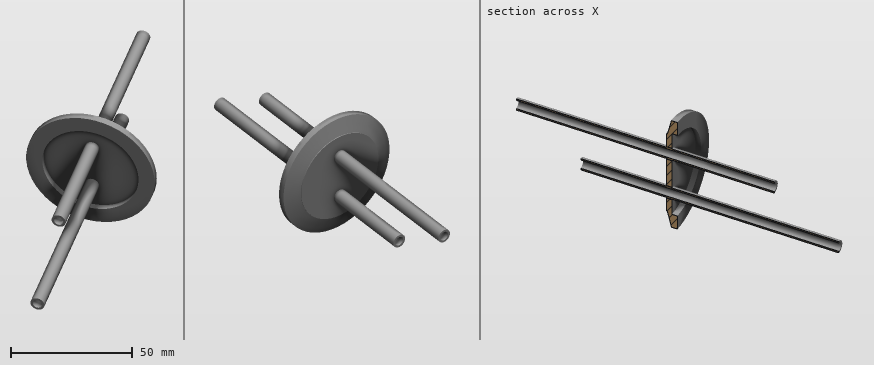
import cadquery as cq

flange_diameter = 55.0
hub_diameter = 40.0
rim_thickness = 3.0
hub_height = 0.3
flange_thickness = 5.2
recess_diameter = 41.2
recess_depth = 2.5

tube_diameter = 6.0
bore_diameter = 4.0
tube_length = 120.0
tube_spacing = hub_diameter / 2
upper_tube_front = -45.0
lower_tube_front = -75.0

tube_placements = [
    (upper_tube_front, tube_spacing / 2),
    (lower_tube_front, -tube_spacing / 2),
]


def cylinder_along_y(diameter, front, length, height=0.0):
    """Solid cylinder running toward +Y from the given front, centred at Z = height."""
    return (
        cq.Workplane("XZ", origin=(0, front, height))
        .circle(diameter / 2)
        .extrude(-length)
    )


def make_flange():
    """Recessed disc with a tapered rear edge, a low rear hub and a through hole for each tube."""
    outer_radius = flange_diameter / 2
    hub_radius = hub_diameter / 2
    body = (
        cq.Workplane("XY")
        .moveTo(0, 0)
        .lineTo(outer_radius, 0)
        .lineTo(outer_radius, rim_thickness)
        .lineTo(hub_radius, flange_thickness - hub_height)
        .lineTo(hub_radius, flange_thickness)
        .lineTo(0, flange_thickness)
        .close()
        .revolve(360, (0, 0, 0), (0, 1, 0))
    )
    body = body.cut(cylinder_along_y(recess_diameter, 0, recess_depth))
    for _, height in tube_placements:
        body = body.cut(cylinder_along_y(tube_diameter, 0, flange_thickness, height))
    return body


def make_tube(front, height):
    """Straight tube, open at both ends."""
    outside = cylinder_along_y(tube_diameter, front, tube_length, height)
    bore = cylinder_along_y(bore_diameter, front, tube_length, height)
    return outside.cut(bore)


flange = make_flange()
tubes = [make_tube(front, height) for front, height in tube_placements]

result = cq.Compound.makeCompound([flange.val(), *[tube.val() for tube in tubes]])